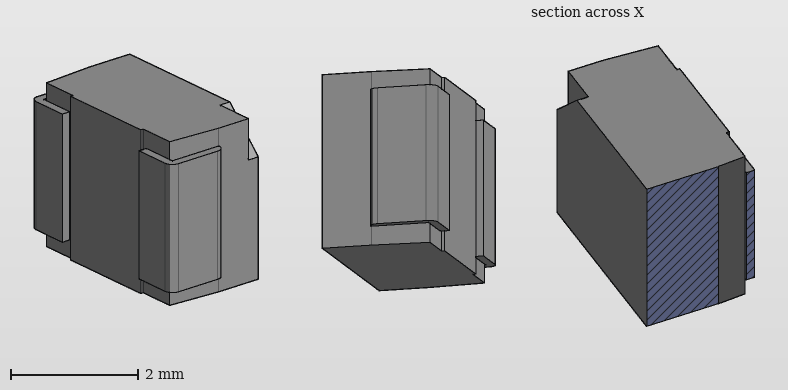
import cadquery as cq
import math

overall_length = 3.5
overall_depth = 1.9
body_width = 2.8

lead_thickness = 0.15
lead_bend_radius = 0.15
lead_width = 2.19
lead_arm_depth = 1.1
lead_foot_length = 0.798

draft_angle = 4.0
arm_contact = 0.007
pad_length = 1.75
pad_height = 0.05

mark_leg = 0.707
mark_depth = 0.2

half_length = overall_length / 2
body_half_length = half_length - lead_thickness
body_front = lead_thickness
draft_start = lead_arm_depth - arm_contact
front_half_length = body_half_length - (draft_start - body_front) * math.tan(math.radians(draft_angle))


def make_body():
    """Block whose ends are straight at the back and drafted towards the front."""
    return (
        cq.Workplane("XY")
        .workplane(offset=-body_width / 2)
        .moveTo(-body_half_length, overall_depth)
        .lineTo(-body_half_length, draft_start)
        .lineTo(-front_half_length, body_front)
        .lineTo(front_half_length, body_front)
        .lineTo(body_half_length, draft_start)
        .lineTo(body_half_length, overall_depth)
        .close()
        .extrude(body_width)
    )


def make_pad():
    """Shallow raised band between the two feet, across the full width."""
    return cq.Workplane("XY").box(pad_length, pad_height, body_width).translate(
        (0, body_front - pad_height / 2, 0)
    )


def make_polarity_cut():
    """Triangular prism that removes the +X, +Z corner at the back of the body."""
    top = body_width / 2
    return (
        cq.Workplane("XZ", origin=(0, overall_depth, 0))
        .moveTo(body_half_length, top)
        .lineTo(body_half_length - mark_leg, top)
        .lineTo(body_half_length, top - mark_leg)
        .close()
        .extrude(mark_depth)
    )


def make_lead():
    """L-shaped lead on the -X end, rounded on its outer bend and outer arm tip."""
    outer_block = (
        cq.Workplane("XY")
        .box(lead_foot_length, lead_arm_depth, lead_width, centered=(False, False, True))
        .edges("|Z and <X")
        .fillet(lead_bend_radius)
    )
    inner_space = (
        cq.Workplane("XY")
        .box(lead_foot_length, lead_arm_depth, lead_width, centered=(False, False, True))
        .translate((lead_thickness, lead_thickness, 0))
    )
    return outer_block.cut(inner_space).translate((-half_length, 0, 0))


left_lead = make_lead()
right_lead = left_lead.mirror("YZ")

result = make_body().union(make_pad()).cut(make_polarity_cut()).union(left_lead).union(right_lead)